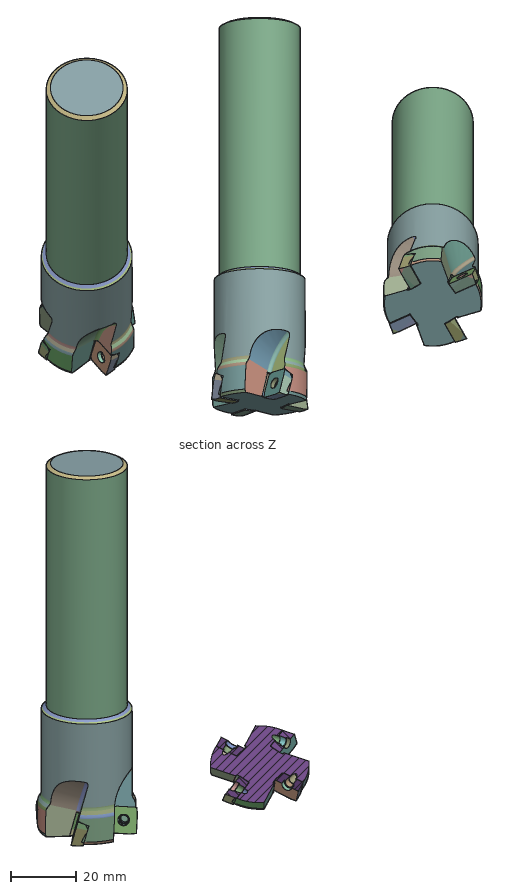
import cadquery as cq
import math

total_length = 120.0
shank_diameter = 25.0
shank_chamfer_width = 1.3
shank_chamfer_height = 0.7
neck_diameter = 28.0
neck_bottom_z = 12.1
shoulder_top_z = 40.7
shoulder_edge_drop = 0.7
shoulder_bottom_drop = 1.1
shoulder_edge_width = 0.5
flare_arc_radius = 2.2
flare_angle = 30.0
flare_cone_height = 1.1
head_bottom_z = 0.4
head_chamfer_width = 0.4
head_chamfer_height = 1.0

tooth_count = 4
radial_rake = 14.0
axial_rake = 15.0
flute_floor_distance = 7.7
flute_floor_slope = 9.0
flute_straight_length = 7.8
flute_runout_radius = 15.0
flute_corner_radius = 1.0
flute_width = 19.2
flute_outer_distance = 19.2
flute_below_end = 6.0

cutting_diameter = 32.0
insert_side = 8.4
insert_thickness = 3.6
insert_relief = 9.0
pocket_opening = 1.0
insert_tilt = 2.0
corner_cut_length = 2.0
corner_cut_depth = 0.3
insert_recess_diameter = 3.5
insert_hole_diameter = 2.8
insert_recess_depth = 1.5
screw_hole_diameter = 2.5
screw_hole_depth = 7.2

rake_sin = math.sin(math.radians(radial_rake))
rake_cos = math.cos(math.radians(radial_rake))
helix_sin = math.sin(math.radians(axial_rake))
helix_cos = math.cos(math.radians(axial_rake))
outward = cq.Vector(rake_sin, -rake_cos, 0)
forward = cq.Vector(-helix_cos * rake_cos, -helix_cos * rake_sin, helix_sin)
along_flute = forward.cross(outward)

tilt = math.radians(insert_tilt)
corner_height = helix_cos * (corner_cut_depth * math.cos(tilt) - corner_cut_length * math.sin(tilt))
cutting_corner = cq.Vector(0, -cutting_diameter / 2, corner_height)
wall_origin = forward * cutting_corner.dot(forward)
wall_plane = cq.Plane(origin=wall_origin, xDir=outward, normal=forward)
corner_x = cutting_corner.dot(outward)
corner_y = cutting_corner.dot(along_flute)
insert_plane = cq.Plane(origin=wall_plane.toWorldCoords((corner_x, corner_y)), xDir=outward, normal=forward)
insert_plane = insert_plane.rotated((0, 0, -insert_tilt))
insert_center = (-insert_side / 2, insert_side / 2 - corner_cut_depth)


def revolved_blank():
    """Shank, neck and flared head; the flare is a cone between two tangent arcs."""
    shank_radius = shank_diameter / 2
    neck_radius = neck_diameter / 2
    slope = math.radians(flare_angle)
    arc_height = flare_arc_radius * math.sin(slope)
    arc_width = flare_arc_radius * (1 - math.cos(slope))
    half_height = flare_arc_radius * math.sin(slope / 2)
    half_width = flare_arc_radius * (1 - math.cos(slope / 2))
    cone_top = (neck_radius + arc_width, neck_bottom_z - arc_height)
    cone_bottom = (cone_top[0] + flare_cone_height * math.tan(slope), cone_top[1] - flare_cone_height)
    head_radius = cone_bottom[0] + arc_width
    head_top_z = cone_bottom[1] - arc_height
    return (
        cq.Workplane("XZ")
        .moveTo(0, head_bottom_z)
        .lineTo(head_radius - head_chamfer_width, head_bottom_z)
        .lineTo(head_radius, head_bottom_z + head_chamfer_height)
        .lineTo(head_radius, head_top_z)
        .threePointArc((head_radius - half_width, head_top_z + half_height), cone_bottom)
        .lineTo(*cone_top)
        .threePointArc((neck_radius + half_width, neck_bottom_z - half_height), (neck_radius, neck_bottom_z))
        .lineTo(neck_radius, shoulder_top_z - shoulder_bottom_drop)
        .lineTo(neck_radius - shoulder_edge_width, shoulder_top_z - shoulder_edge_drop)
        .lineTo(shank_radius, shoulder_top_z)
        .lineTo(shank_radius, total_length - shank_chamfer_height)
        .lineTo(shank_radius - shank_chamfer_width, total_length)
        .lineTo(0, total_length)
        .close()
        .revolve(360, (0, 0, 0), (0, 1, 0))
    )


def flute_cutter():
    """Straight floor, then an arc that runs out through the neck.

    The floor slopes away from the axis with distance from the wall, and meets the wall in a fillet.
    """
    runout_rise = flute_outer_distance - flute_floor_distance
    runout_angle = math.acos(1 - runout_rise / flute_runout_radius)

    def runout_point(angle):
        return (
            flute_floor_distance + flute_runout_radius * (1 - math.cos(angle)),
            flute_straight_length + flute_runout_radius * math.sin(angle),
        )

    profile = (
        cq.Workplane(wall_plane)
        .moveTo(flute_outer_distance, -flute_below_end)
        .lineTo(flute_floor_distance, -flute_below_end)
        .lineTo(flute_floor_distance, flute_straight_length)
        .threePointArc(runout_point(runout_angle / 2), runout_point(runout_angle))
        .close()
    )
    sweep = (forward + outward * math.tan(math.radians(flute_floor_slope))) * flute_width
    cutter = cq.Workplane(cq.Solid.extrudeLinear(profile.val(), [], sweep))
    corner_middle = (flute_floor_distance, (flute_straight_length - flute_below_end) / 2)
    corner_edge = cq.NearestToPointSelector(wall_plane.toWorldCoords(corner_middle).toTuple())
    return cutter.edges(corner_edge).fillet(flute_corner_radius)


def insert_outline():
    """Square on the rake face with each side bent inward near one end."""
    half = insert_side / 2
    points = []
    for turn in range(4):
        angle = math.radians(90 * turn)
        for x, y in [(half - corner_cut_length, -half), (half, corner_cut_depth - half)]:
            points.append((
                insert_center[0] + x * math.cos(angle) - y * math.sin(angle),
                insert_center[1] + x * math.sin(angle) + y * math.cos(angle),
            ))
    return points


def insert_blank():
    """Plate that tapers behind its cutting edges, ground flat where its back would reach below Z = 0."""
    outline = cq.Workplane(insert_plane).polyline(insert_outline()).close()
    plate = outline.extrude(-insert_thickness, taper=insert_relief)
    below_end = cq.Workplane("XY").circle(cutting_diameter).extrude(-insert_side)
    return plate.cut(below_end)


def insert_pocket():
    """Seat of the insert, opened forward so that the rake face stays clear."""
    opening = cq.Workplane(insert_plane).polyline(insert_outline()).close().extrude(pocket_opening)
    return insert_blank().union(opening)


def screw_bore(diameter, depth):
    """Cylinder at the middle of the insert, going in from its rake face."""
    return cq.Workplane(insert_plane).center(*insert_center).circle(diameter / 2).extrude(-depth)


def cutting_insert():
    """Insert with a screw hole that is recessed at the rake face."""
    return (
        insert_blank()
        .cut(screw_bore(insert_recess_diameter, insert_recess_depth))
        .cut(screw_bore(insert_hole_diameter, insert_thickness))
    )


def at_tooth(shape, index):
    return shape.rotate((0, 0, 0), (0, 0, 1), 360 / tooth_count * index)


def tool_body():
    """Blank with the flutes first, then the insert seats and their screw holes."""
    body = revolved_blank()
    for index in range(tooth_count):
        body = body.cut(at_tooth(flute_cutter(), index))
    for index in range(tooth_count):
        body = body.cut(at_tooth(insert_pocket(), index))
        body = body.cut(at_tooth(screw_bore(screw_hole_diameter, screw_hole_depth), index))
    return body


body = tool_body()
inserts = [at_tooth(cutting_insert(), index) for index in range(tooth_count)]
result = cq.Compound.makeCompound([body.val(), *[insert.val() for insert in inserts]])